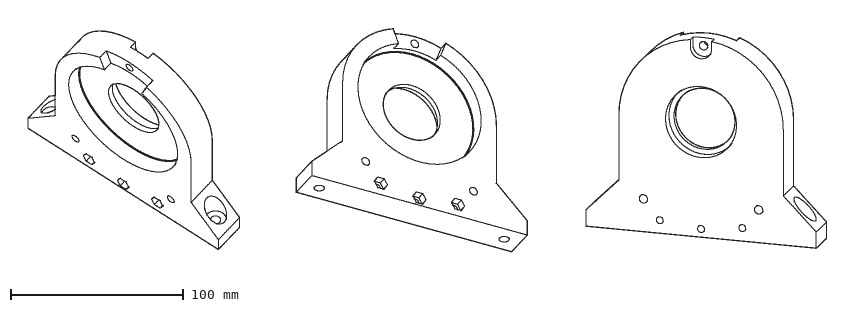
import cadquery as cq
import math

base_width = 140.0
thickness = 20.0
head_radius = 50.0
head_height = 70.0
foot_edge_height = 10.0
foot_slope_run = base_width / 2 - head_radius
shoulder_height = foot_edge_height + foot_slope_run

recess_radius = 40.0
recess_depth = 10.0
floor_rim_width = 0.4
floor_rim_depth = 0.5
bore_radius = 18.5
bore_step = 3.1
bore_lip_length = 3.5

notch_half_angle = 20.0
notch_depth = 6.0
head_hole_height = 115.0
bolt_hole_radius = 2.5
slot_radius = 6.5
slot_depth = 4.8

lower_hole_x = 35.0
lower_hole_height = 20.0
nut_side_x = 25.0
nut_side_height = 8.0
nut_middle_height = 5.0
nut_hole_radius = 2.1
nut_across_flats = 7.3
nut_pocket_depth = 5.0
foot_hole_x = 60.0
foot_hole_radius = 3.0
foot_counterbore_radius = 6.5
foot_counterbore_floor = 10.0

overrun = 1.4


def cylinder_y(x, z, radius, start, length):
    """Cylinder along +Y, starting at the given Y."""
    return cq.Workplane(cq.Solid.makeCylinder(radius, length, cq.Vector(x, start, z), cq.Vector(0, 1, 0)))


def cylinder_z(x, radius, start, length):
    """Vertical cylinder on the mid-plane of the plate."""
    return cq.Workplane(cq.Solid.makeCylinder(radius, length, cq.Vector(x, thickness / 2, start)))


def through_hole(x, z, radius):
    return cylinder_y(x, z, radius, -overrun, thickness + 2 * overrun)


def plate():
    half_base = base_width / 2
    return (
        cq.Workplane("XZ")
        .moveTo(-half_base, 0)
        .lineTo(half_base, 0)
        .lineTo(half_base, foot_edge_height)
        .lineTo(head_radius, shoulder_height)
        .lineTo(head_radius, head_height)
        .threePointArc((0, head_height + head_radius), (-head_radius, head_height))
        .lineTo(-head_radius, shoulder_height)
        .lineTo(-half_base, foot_edge_height)
        .close()
        .extrude(-thickness)
    )


def central_bore():
    """Front recess with a narrow rim at its floor, and a bore widened behind a short lip."""
    recess = cylinder_y(0, head_height, recess_radius, 0, recess_depth - floor_rim_depth)
    floor = cylinder_y(0, head_height, recess_radius - floor_rim_width, 0, recess_depth)
    lip_end = recess_depth + bore_lip_length
    widened = cylinder_y(0, head_height, bore_radius + bore_step, lip_end, thickness - lip_end)
    return recess.union(floor).union(through_hole(0, head_height, bore_radius)).union(widened)


def head_notch():
    """Front notch across the head rim, with radial ends."""
    reach = head_radius + 5 * overrun
    half_width = reach * math.tan(math.radians(notch_half_angle))
    return (
        cq.Workplane("XZ", origin=(0, 0, head_height))
        .polyline([(0, 0), (half_width, reach), (-half_width, reach)])
        .close()
        .extrude(-notch_depth)
    )


def head_slot():
    """Round-bottomed slot at the back, open at the top of the head."""
    start = thickness - slot_depth
    slot_height = head_height + head_radius + overrun - head_hole_height
    opening = cq.Workplane("XY").box(2 * slot_radius, slot_depth, slot_height, centered=(True, False, False))
    return cylinder_y(0, head_hole_height, slot_radius, start, slot_depth).union(
        opening.translate((0, start, head_hole_height))
    )


def nut_hole(x, z):
    """Through hole with a hexagonal nut pocket at the front."""
    across_corners = nut_across_flats / math.cos(math.radians(30))
    pocket = cq.Workplane("XZ", origin=(x, 0, z)).polygon(6, across_corners).extrude(-nut_pocket_depth)
    return pocket.union(through_hole(x, z, nut_hole_radius))


def foot_hole(x):
    """Vertical bolt hole, counterbored from the sloped face of the foot."""
    hole = cylinder_z(x, foot_hole_radius, -overrun, foot_counterbore_floor + 2 * overrun)
    counterbore = cylinder_z(x, foot_counterbore_radius, foot_counterbore_floor, shoulder_height)
    return hole.union(counterbore)


result = plate().cut(central_bore()).cut(head_notch()).cut(head_slot())
result = result.cut(through_hole(0, head_hole_height, bolt_hole_radius))
result = result.cut(nut_hole(0, nut_middle_height))
for side in (-1, 1):
    result = result.cut(through_hole(side * lower_hole_x, lower_hole_height, bolt_hole_radius))
    result = result.cut(nut_hole(side * nut_side_x, nut_side_height))
    result = result.cut(foot_hole(side * foot_hole_x))